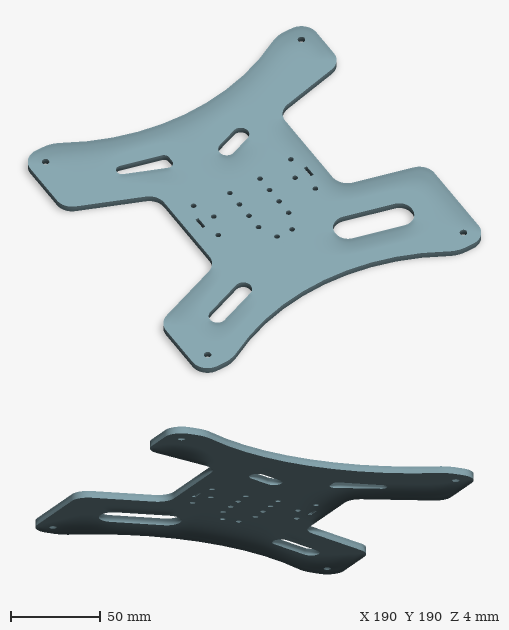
import cadquery as cq

SIZE = 190.0
THICKNESS = 4.0
HALF = SIZE / 2

SIDE_WAIST_HALF = 73.0
SIDE_ARC_HALF_HEIGHT = 74.6
SIDE_BLEND_RADIUS = 20.0
CORNER_RADIUS = 10.0

NOTCH_FLOOR = 45.0
REAR_SLOPE = 0.25
FRONT_SLOPE = 0.4
REAR_NOTCH_CENTRE_X = -14.0
REAR_NOTCH_MOUTH_HALF = 45.0
FRONT_NOTCH_MOUTH_HALF = 50.45

CORNER_HOLE_DIAMETER = 4.2
SMALL_HOLE_DIAMETER = 3.2
CORNER_HOLE_OFFSET = HALF - CORNER_RADIUS
GRID_PITCH = 10.0
GRID_COLUMNS = (-1, 0, 1, 2)
GRID_ROW_Y = 10.0
SIDE_PAIR_X = 31.5
SIDE_PAIR_Y = 5.0
OUTER_TRIO_X = 12.9
OUTER_TRIO_Y = 32.3
INNER_TRIO_Y = 27.0

SLIT_LENGTH = 7.4
SLIT_WIDTH = 2.0
SLIT_Y = 36.0

SLANTED_SLOTS = (
    (50.8, 47.0, 46.0, 17.4, REAR_SLOPE, 8.2),
    (-41.2, 12.3, 22.0, 10.3, -FRONT_SLOPE, 4.7),
    (59.0, -53.4, 32.8, 10.7, -FRONT_SLOPE, 4.9),
)

TAPER_TOP_Y = -24.7
TAPER_BOTTOM_Y = -55.2
TAPER_TOP_LEFT_X = -53.4
TAPER_TOP_RIGHT_X = -42.6
TAPER_TOP_RADIUS = 3.3
TAPER_BOTTOM_RADIUS = 2.9


def around_height(y):
    """Selector for everything in a thin band across the plate at the given Y."""
    reach = 1.0
    return cq.selectors.BoxSelector((-SIZE, y - reach, -reach), (SIZE, y + reach, THICKNESS + reach))


def make_plate():
    """Plate outline: concave sides, a notch in each of the other edges, rounded corners."""
    depth = HALF - NOTCH_FLOOR
    rear_floor_half = REAR_NOTCH_MOUTH_HALF - REAR_SLOPE * depth
    front_floor_half = FRONT_NOTCH_MOUTH_HALF - FRONT_SLOPE * depth

    plate = (
        cq.Workplane("XY")
        .moveTo(-HALF, -HALF)
        .lineTo(-FRONT_NOTCH_MOUTH_HALF, -HALF)
        .lineTo(-front_floor_half, -NOTCH_FLOOR)
        .lineTo(front_floor_half, -NOTCH_FLOOR)
        .lineTo(FRONT_NOTCH_MOUTH_HALF, -HALF)
        .lineTo(HALF, -HALF)
        .lineTo(HALF, -SIDE_ARC_HALF_HEIGHT)
        .threePointArc((SIDE_WAIST_HALF, 0), (HALF, SIDE_ARC_HALF_HEIGHT))
        .lineTo(HALF, HALF)
        .lineTo(REAR_NOTCH_CENTRE_X + REAR_NOTCH_MOUTH_HALF, HALF)
        .lineTo(REAR_NOTCH_CENTRE_X + rear_floor_half, NOTCH_FLOOR)
        .lineTo(REAR_NOTCH_CENTRE_X - rear_floor_half, NOTCH_FLOOR)
        .lineTo(REAR_NOTCH_CENTRE_X - REAR_NOTCH_MOUTH_HALF, HALF)
        .lineTo(-HALF, HALF)
        .lineTo(-HALF, SIDE_ARC_HALF_HEIGHT)
        .threePointArc((-SIDE_WAIST_HALF, 0), (-HALF, -SIDE_ARC_HALF_HEIGHT))
        .close()
        .extrude(THICKNESS)
    )

    side_blends = around_height(-SIDE_ARC_HALF_HEIGHT) + around_height(SIDE_ARC_HALF_HEIGHT)
    vertical = cq.selectors.ParallelDirSelector(cq.Vector(0, 0, 1))
    plate = plate.edges(vertical - side_blends).fillet(CORNER_RADIUS)
    return plate.edges(vertical).edges(side_blends).fillet(SIDE_BLEND_RADIUS)


def quadrilateral_prism(corners):
    """Plate-thick prism with a four-sided outline."""
    return cq.Workplane("XY").polyline(corners).close().extrude(THICKNESS)


def slanted_slot(centre_x, centre_y, height, width, slope, radius):
    """Rounded parallelogram cutter; slope is the sideways run per unit of height."""
    top = centre_y + height / 2
    bottom = centre_y - height / 2
    shift = slope * height / 2
    half_width = width / 2
    corners = [
        (centre_x - shift - half_width, bottom),
        (centre_x - shift + half_width, bottom),
        (centre_x + shift + half_width, top),
        (centre_x + shift - half_width, top),
    ]
    return quadrilateral_prism(corners).edges("|Z").fillet(radius)


def tapered_slot():
    """Rounded cutter that narrows towards the front edge."""
    drop = TAPER_TOP_Y - TAPER_BOTTOM_Y
    corners = [
        (TAPER_TOP_LEFT_X, TAPER_TOP_Y),
        (TAPER_TOP_RIGHT_X, TAPER_TOP_Y),
        (TAPER_TOP_RIGHT_X - FRONT_SLOPE * drop, TAPER_BOTTOM_Y),
        (TAPER_TOP_LEFT_X - REAR_SLOPE * drop, TAPER_BOTTOM_Y),
    ]
    cutter = quadrilateral_prism(corners)
    cutter = cutter.edges("|Z and >Y").fillet(TAPER_TOP_RADIUS)
    return cutter.edges("|Z and <Y").fillet(TAPER_BOTTOM_RADIUS)


def round_holes(points, diameter):
    """Cutters for round through holes."""
    return cq.Workplane("XY").pushPoints(points).circle(diameter / 2).extrude(THICKNESS)


def corner_hole_points():
    return [(sx * CORNER_HOLE_OFFSET, sy * CORNER_HOLE_OFFSET) for sx in (-1, 1) for sy in (-1, 1)]


def small_hole_points():
    """Small hole centres, mirrored about the X axis."""
    half_pattern = [(column * GRID_PITCH, GRID_ROW_Y) for column in GRID_COLUMNS]
    half_pattern += [
        (-OUTER_TRIO_X, OUTER_TRIO_Y),
        (OUTER_TRIO_X, OUTER_TRIO_Y),
        (0, INNER_TRIO_Y),
        (SIDE_PAIR_X, SIDE_PAIR_Y),
    ]
    return [(x, side * y) for side in (-1, 1) for x, y in half_pattern]


def slits():
    """Cutters for the two rectangular slits."""
    centres = [(0, -SLIT_Y), (0, SLIT_Y)]
    return cq.Workplane("XY").pushPoints(centres).rect(SLIT_LENGTH, SLIT_WIDTH).extrude(THICKNESS)


result = make_plate()
result = result.cut(round_holes(corner_hole_points(), CORNER_HOLE_DIAMETER))
result = result.cut(round_holes(small_hole_points(), SMALL_HOLE_DIAMETER))
result = result.cut(slits())
for slot in SLANTED_SLOTS:
    result = result.cut(slanted_slot(*slot))
result = result.cut(tapered_slot())